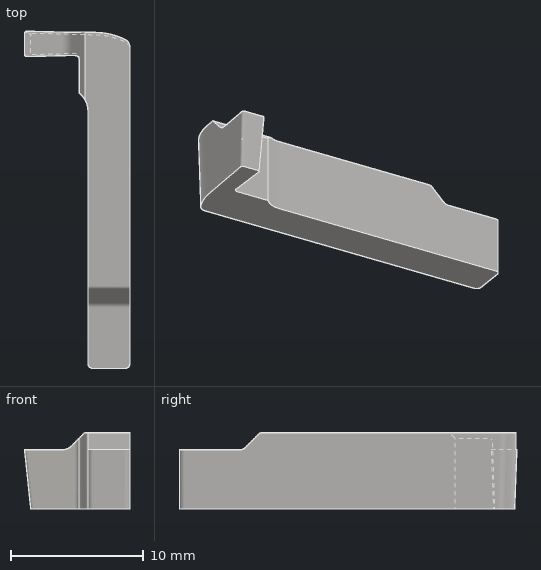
import cadquery as cq
import math

TOTAL_X = 8.0
TOTAL_Y = 25.55
TOTAL_Z = 5.79

SHANK_WIDTH = 3.2
SHANK_CORNER_R = 0.4
SHANK_LEFT = TOTAL_X - SHANK_WIDTH

HEAD_LEFT = 4.14
HEAD_FRONT_Y = -4.7
HEAD_BLEND_END_Y = -6.05
BACK_ARC_START_X = 5.5
BACK_ARC_R = 5.0
BACK_CORNER_R = 0.7

ARM_TOP_Z = 4.5
TIP_WIDTH = 1.95
TIP_CORNER_R = 0.2
NECK_R = 0.27
SIDE_TAPER = math.radians(1.5)
SIDE_RELIEF = math.radians(2)
TIP_RELIEF = math.radians(6)

SLOPE_ANGLE = math.radians(45)
HEAD_RIDGE_X = 4.57
ARM_SLOPE_R = 1.0
SHELF_Z = 4.5
SLOPE_START_Y = -19.32
SLOPE_TOP_R = 0.3
SLOPE_FOOT_R = 0.5

UP = math.pi / 2
DOWN = -math.pi / 2
CUT_MARGIN = 1.0
EDGE_REACH = 0.5


def polar(center, radius, angle):
    """Point on a circle, with the angle in radians from +X."""
    return (center[0] + radius * math.cos(angle), center[1] + radius * math.sin(angle))


def plan_outline(z):
    """Sharp-cornered plan outline at height z; the relief is zero at the arm top."""
    depth = ARM_TOP_Z - z
    tip_x = depth * math.tan(TIP_RELIEF)
    side_shift = depth * math.tan(SIDE_RELIEF)

    def back_y(x):
        return -side_shift - (x - TIP_CORNER_R) * math.tan(SIDE_TAPER)

    def front_y(x):
        return -TIP_WIDTH + side_shift + x * math.tan(SIDE_TAPER)

    back_start = (BACK_ARC_START_X, back_y(BACK_ARC_START_X))
    start_angle = UP - SIDE_TAPER
    back_center = polar(back_start, -BACK_ARC_R, start_angle)
    corner_x = TOTAL_X - BACK_CORNER_R
    join_angle = math.acos((corner_x - back_center[0]) / (BACK_ARC_R - BACK_CORNER_R))
    corner_center = polar(back_center, BACK_ARC_R - BACK_CORNER_R, join_angle)

    blend_dx = SHANK_LEFT - HEAD_LEFT
    blend_dy = HEAD_FRONT_Y - HEAD_BLEND_END_Y
    blend_r = (blend_dx**2 + blend_dy**2) / (2 * blend_dx)
    blend_center = (SHANK_LEFT - blend_r, HEAD_BLEND_END_Y)
    blend_half_angle = math.atan2(blend_dx, blend_dy)

    return (
        cq.Workplane("XY", origin=(0, 0, z))
        .moveTo(tip_x, back_y(tip_x))
        .lineTo(*back_start)
        .threePointArc(
            polar(back_center, BACK_ARC_R, (start_angle + join_angle) / 2),
            polar(back_center, BACK_ARC_R, join_angle),
        )
        .threePointArc(
            polar(corner_center, BACK_CORNER_R, join_angle / 2),
            polar(corner_center, BACK_CORNER_R, 0),
        )
        .lineTo(TOTAL_X, -TOTAL_Y)
        .lineTo(SHANK_LEFT, -TOTAL_Y)
        .lineTo(SHANK_LEFT, HEAD_BLEND_END_Y)
        .threePointArc(
            polar(blend_center, blend_r, blend_half_angle),
            (HEAD_LEFT, HEAD_FRONT_Y),
        )
        .lineTo(HEAD_LEFT, front_y(HEAD_LEFT))
        .lineTo(tip_x, front_y(tip_x))
        .close()
        .val()
    )


def upright_edges_near(solid, x, y):
    """Upright edges whose middle lies within EDGE_REACH of (x, y)."""
    low = (x - EDGE_REACH, y - EDGE_REACH, EDGE_REACH)
    high = (x + EDGE_REACH, y + EDGE_REACH, TOTAL_Z - EDGE_REACH)
    return solid.edges(cq.selectors.BoxSelector(low, high))


def body():
    """Full-height body with relieved arm sides and rounded upright corners."""
    solid = cq.Workplane(cq.Solid.makeLoft([plan_outline(0), plan_outline(TOTAL_Z)], True))
    rounded_corners = [
        (0, 0, TIP_CORNER_R),
        (0, -TIP_WIDTH, TIP_CORNER_R),
        (HEAD_LEFT, -TIP_WIDTH, NECK_R),
        (SHANK_LEFT, -TOTAL_Y, SHANK_CORNER_R),
        (TOTAL_X, -TOTAL_Y, SHANK_CORNER_R),
    ]
    for x, y, radius in rounded_corners:
        solid = upright_edges_near(solid, x, y).fillet(radius)
    return solid


def arm_clearance():
    """Space above the arm: a flat, then a rounded foot into the head slope."""
    run = (TOTAL_Z - ARM_TOP_Z) / math.tan(SLOPE_ANGLE)
    foot_x = HEAD_RIDGE_X - run
    tangent = ARM_SLOPE_R * math.tan(SLOPE_ANGLE / 2)
    foot_center = (foot_x - tangent, ARM_TOP_Z + ARM_SLOPE_R)
    return (
        cq.Workplane("XZ", origin=(0, CUT_MARGIN, 0))
        .moveTo(-CUT_MARGIN, ARM_TOP_Z)
        .lineTo(foot_center[0], ARM_TOP_Z)
        .threePointArc(
            polar(foot_center, ARM_SLOPE_R, DOWN + SLOPE_ANGLE / 2),
            polar(foot_center, ARM_SLOPE_R, DOWN + SLOPE_ANGLE),
        )
        .lineTo(HEAD_RIDGE_X + CUT_MARGIN / math.tan(SLOPE_ANGLE), TOTAL_Z + CUT_MARGIN)
        .lineTo(-CUT_MARGIN, TOTAL_Z + CUT_MARGIN)
        .close()
        .extrude(TOTAL_Y + 2 * CUT_MARGIN)
    )


def shelf_clearance():
    """Space above the shank end: a shelf and a slope rounded at top and foot."""
    top_tangent = SLOPE_TOP_R * math.tan(SLOPE_ANGLE / 2)
    foot_tangent = SLOPE_FOOT_R * math.tan(SLOPE_ANGLE / 2)
    run = (TOTAL_Z - SHELF_Z) / math.tan(SLOPE_ANGLE)
    foot_y = SLOPE_START_Y - top_tangent - run
    top_center = (SLOPE_START_Y, TOTAL_Z - SLOPE_TOP_R)
    foot_center = (foot_y - foot_tangent, SHELF_Z + SLOPE_FOOT_R)
    end_y = -TOTAL_Y - CUT_MARGIN
    return (
        cq.Workplane("YZ")
        .moveTo(SLOPE_START_Y, TOTAL_Z)
        .threePointArc(
            polar(top_center, SLOPE_TOP_R, UP + SLOPE_ANGLE / 2),
            polar(top_center, SLOPE_TOP_R, UP + SLOPE_ANGLE),
        )
        .lineTo(*polar(foot_center, SLOPE_FOOT_R, DOWN + SLOPE_ANGLE))
        .threePointArc(
            polar(foot_center, SLOPE_FOOT_R, DOWN + SLOPE_ANGLE / 2),
            polar(foot_center, SLOPE_FOOT_R, DOWN),
        )
        .lineTo(end_y, SHELF_Z)
        .lineTo(end_y, TOTAL_Z + CUT_MARGIN)
        .lineTo(SLOPE_START_Y, TOTAL_Z + CUT_MARGIN)
        .close()
        .extrude(TOTAL_X + CUT_MARGIN)
    )


result = body().cut(arm_clearance()).cut(shelf_clearance())